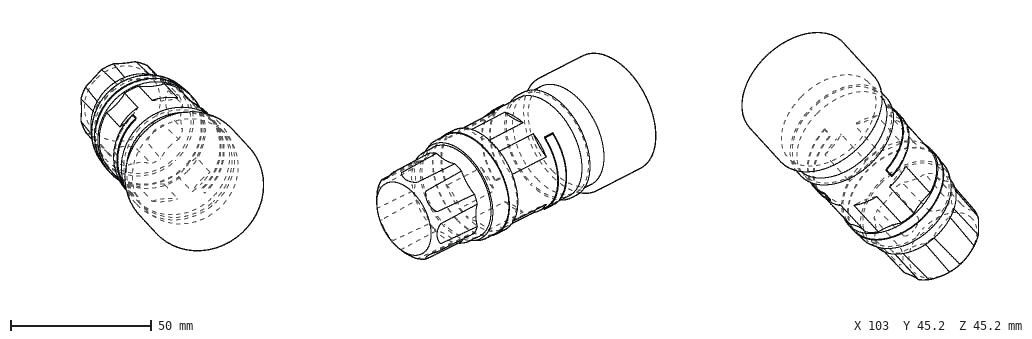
import cadquery as cq
import math

total_length = 103.0

knob_end = 20.5
face_radius = 14.1
nose_length = 2.5
nose_round = 1.4
knob_front_radius = 16.8
knob_back_radius = 17.1
flute_count = 8
flute_floor_radius = 15.7
flute_arc_radius = 15.1

collar_end = 25.9
collar_front_radius = 17.8
collar_back_radius = 17.9
collar_round = 0.36

shoulder_radius = 18.9
shoulder_end = 27.9
shoulder_round = 0.6
band_start = 33.0
band_end = 37.1
band_radius = 20.0
grip_radius = 19.5
body_radius = 19.7

panel_end = 54.1
panel_half_width = 4.7
panel_arc_radius = 19.1
panel_spacing = 45
panel_angles = [angle for angle in range(0, 360, panel_spacing) if angle % 180 != 0]

label_start = 57.1
label_end = 61.1
window_width = 25.6

ring_start = 68.9
ring_end = 72.1
ring_radius = 20.7
ring_round = 0.4

housing_start = 79.8
housing_radius = 22.62
housing_round = 0.9


def turned(outline):
    """Solid of revolution about the X axis from (station, radius) points."""
    return cq.Workplane("XY").polyline(outline).close().revolve(360, (0, 0, 0), (1, 0, 0))


def ring_solid(start, end, radius):
    """Solid cylinder on the X axis between two stations."""
    return turned([(start, 0), (start, radius), (end, radius), (end, 0)])


def edge_near(station, radius):
    """Selector for the circular edge closest to a station and radius."""
    reach = 0.01
    low = (station - reach, -radius - reach, -radius - reach)
    high = (station + reach, radius + reach, radius + reach)
    return cq.selectors.BoxSelector(low, high, boundingbox=True)


def knob():
    """Slightly tapered knob with a rounded conical nose and concave flutes."""
    outline = [
        (0, 0),
        (0, face_radius),
        (nose_length, knob_front_radius),
        (knob_end, knob_back_radius),
        (knob_end, 0),
    ]
    body = turned(outline).edges(edge_near(nose_length, knob_front_radius)).fillet(nose_round)
    flutes = (
        cq.Workplane("YZ")
        .polarArray(flute_floor_radius + flute_arc_radius, 0, 360, flute_count)
        .circle(flute_arc_radius)
        .extrude(knob_end)
    )
    return body.cut(flutes)


def collar():
    """Slightly tapered collar with a rounded front edge."""
    outline = [
        (knob_end, 0),
        (knob_end, collar_front_radius),
        (collar_end, collar_back_radius),
        (collar_end, 0),
    ]
    return turned(outline).edges(edge_near(knob_end, collar_front_radius)).fillet(collar_round)


def sleeve():
    """Turned sleeve: sloping shoulder, band and tapered grip, up to the housing."""
    outline = [
        (collar_end, 0),
        (collar_end, shoulder_radius),
        (shoulder_end, body_radius),
        (band_start, body_radius),
        (band_start, band_radius),
        (band_end, band_radius),
        (band_end, grip_radius),
        (ring_start, body_radius),
        (housing_start, body_radius),
        (housing_start, 0),
    ]
    return turned(outline).edges(edge_near(shoulder_end, body_radius)).fillet(shoulder_round)


def grip_panels():
    """Material removed by the grip panels: one tilted cylinder copied around the axis."""
    edge_height = math.sqrt(grip_radius**2 - panel_half_width**2)
    arc_rise = panel_arc_radius - math.sqrt(panel_arc_radius**2 - panel_half_width**2)
    axis_height = edge_height - arc_rise + panel_arc_radius
    widening = math.degrees(math.atan((body_radius - grip_radius) / (ring_start - band_end)))
    length = panel_end - band_end
    cylinder = (
        cq.Workplane("YZ")
        .center(axis_height, 0)
        .circle(panel_arc_radius)
        .extrude(2 * length, both=True)
        .rotate((0, 0, 0), (0, 0, 1), widening)
        .translate((band_end, 0, 0))
    )
    cutter = cylinder.intersect(ring_solid(band_end, panel_end, band_radius))
    panels = cq.Workplane("XY")
    for angle in panel_angles:
        panels = panels.add(cutter.rotate((0, 0, 0), (1, 0, 0), angle))
    return panels.combine()


def label_band():
    """Raised band with a window cut through its top and bottom."""
    length = label_end - label_start
    window = (
        cq.Workplane("XY")
        .box(length, window_width, 2 * band_radius, centered=(False, True, True))
        .translate((label_start, 0, 0))
    )
    return ring_solid(label_start, label_end, band_radius).cut(window)


def raised_ring():
    """Ring with both edges rounded."""
    return ring_solid(ring_start, ring_end, ring_radius).edges().fillet(ring_round)


def housing():
    """Rear cylinder with both edges rounded."""
    return ring_solid(housing_start, total_length, housing_radius).edges().fillet(housing_round)


result = (
    knob()
    .union(collar())
    .union(sleeve().cut(grip_panels()))
    .union(label_band())
    .union(raised_ring())
    .union(housing())
)